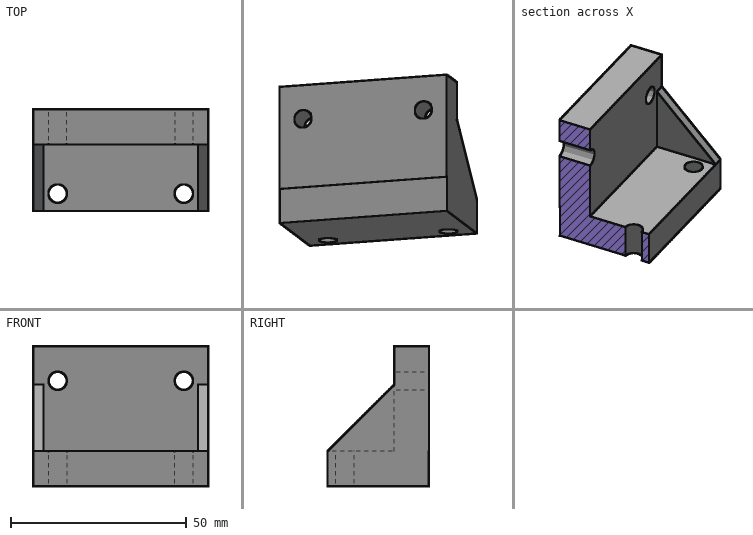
import cadquery as cq

width = 50.0
depth = 29.08
height = 40.0

base_thickness = 10.0
upright_thickness = 10.0
upright_overhang = 0.08

gusset_thickness = 3.0
gusset_height = 19.0

upright_hole_diameter = 5.12
base_hole_diameter = 5.2
hole_spacing = 36.0
first_hole_x = 7.0
upright_hole_z = 30.1
base_hole_y = 5.0

upright_front_y = depth - upright_thickness
hole_columns = [first_hole_x, first_hole_x + hole_spacing]


def make_base():
    return cq.Workplane("XY").box(width, depth - upright_overhang, base_thickness, centered=False)


def make_upright():
    plate = cq.Workplane("XY").box(width, upright_thickness, height - base_thickness, centered=False)
    return plate.translate((0, upright_front_y, base_thickness))


def make_gusset(start_x):
    """Right triangle from the base's front edge up to the upright's front face."""
    return (
        cq.Workplane("YZ", origin=(start_x, 0, 0))
        .moveTo(0, base_thickness)
        .lineTo(upright_front_y, base_thickness)
        .lineTo(upright_front_y, base_thickness + gusset_height)
        .close()
        .extrude(gusset_thickness)
    )


def make_base_hole(x):
    return (
        cq.Workplane("XY")
        .center(x, base_hole_y)
        .circle(base_hole_diameter / 2)
        .extrude(base_thickness)
    )


def make_upright_hole(x):
    return (
        cq.Workplane("XZ", origin=(0, depth, 0))
        .center(x, upright_hole_z)
        .circle(upright_hole_diameter / 2)
        .extrude(upright_thickness)
    )


result = make_base().union(make_upright())
for gusset_x in (0, width - gusset_thickness):
    result = result.union(make_gusset(gusset_x))
for hole_x in hole_columns:
    result = result.cut(make_base_hole(hole_x))
    result = result.cut(make_upright_hole(hole_x))